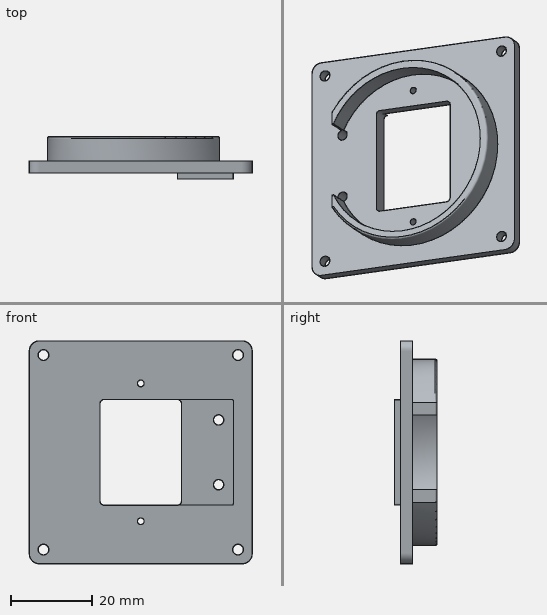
import cadquery as cq

plate_side = 55.0
plate_thickness = 3.0
plate_corner_radius = 2.55
corner_hole_diameter = 2.6
corner_hole_spacing = 47.95

collar_diameter = 46.0
collar_wall = 2.0
collar_height = 6.0
collar_flat_x = 19.4
collar_edge_radius = 0.5

window_width = 20.0
window_height = 26.0
window_corner_radius = 1.0
small_hole_diameter = 1.6
small_hole_spacing = 34.0

pad_thickness = 1.5
pad_right_x = 22.8
pad_corner_radius = 0.35
pad_hole_diameter = 2.5
pad_hole_x = 19.2
pad_hole_spacing = 15.95

collar_back_y = plate_thickness + collar_height
total_depth = pad_thickness + collar_back_y
pad_left_x = window_width / 2 - window_corner_radius


def plane_at(y):
    """XZ plane at the given Y; positive extrusion runs toward +Y."""
    return cq.Workplane(cq.Plane(origin=(0, y, 0), xDir=(1, 0, 0), normal=(0, 1, 0)))


def through_holes(points, diameter):
    """Cylinders along Y through the whole depth; points are (X, Z)."""
    sketch_points = [(x, -z) for x, z in points]
    return plane_at(-pad_thickness).pushPoints(sketch_points).circle(diameter / 2).extrude(total_depth)


def make_plate():
    plate = plane_at(0).rect(plate_side, plate_side).extrude(plate_thickness)
    return plate.edges("|Y").fillet(plate_corner_radius)


def make_collar():
    disc = plane_at(plate_thickness).circle(collar_diameter / 2).extrude(collar_height)
    keep_width = collar_diameter / 2 + collar_flat_x
    keep_center_x = collar_flat_x - keep_width / 2
    keep = (
        plane_at(plate_thickness)
        .center(keep_center_x, 0)
        .rect(keep_width, collar_diameter)
        .extrude(collar_height)
    )
    collar = disc.intersect(keep).faces(">Y").edges().fillet(collar_edge_radius)
    bore = plane_at(plate_thickness).circle(collar_diameter / 2 - collar_wall).extrude(collar_height)
    return collar.cut(bore)


def make_pad():
    pad = (
        plane_at(-pad_thickness)
        .center((pad_left_x + pad_right_x) / 2, 0)
        .rect(pad_right_x - pad_left_x, window_height)
        .extrude(pad_thickness)
    )
    return pad.edges("|Y and >X").fillet(pad_corner_radius)


def make_window():
    window = plane_at(-pad_thickness).rect(window_width, window_height).extrude(total_depth)
    return window.edges("|Y").fillet(window_corner_radius)


corner_offset = corner_hole_spacing / 2
corner_points = [(x, z) for x in (-corner_offset, corner_offset) for z in (-corner_offset, corner_offset)]
small_points = [(0, side * small_hole_spacing / 2) for side in (-1, 1)]
pad_points = [(pad_hole_x, side * pad_hole_spacing / 2) for side in (-1, 1)]

result = make_plate().union(make_collar()).union(make_pad()).cut(make_window())
result = result.cut(through_holes(corner_points, corner_hole_diameter))
result = result.cut(through_holes(small_points, small_hole_diameter))
result = result.cut(through_holes(pad_points, pad_hole_diameter))